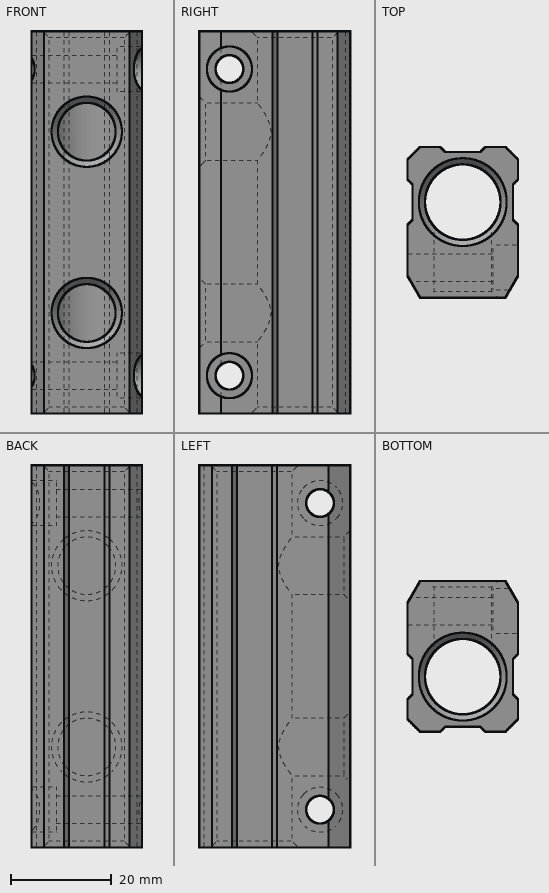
import cadquery as cq
import math

width = 22.0
depth = 30.0
height = 76.0
half_width = width / 2
back_y = half_width
front_y = back_y - depth

bevel = 2.5
front_bevel_length = bevel * math.tan(math.radians(60))

groove_depth = 1.0
groove_floor_half = 3.5
groove_mouth_half = groove_floor_half + groove_depth

bore_diameter = 15.0
bore_mouth_diameter = 17.5

port_diameter = 11.5
port_mouth_diameter = 14.0
port_end_distance = 20.0

screw_diameter = 5.5
screw_head_diameter = 9.0
screw_head_depth = 5.0
screw_end_distance = 7.5
screw_y = front_y + 6.0


def mirrored_heights(end_distance):
    """Heights of two features equally far from the bottom and top ends."""
    return (end_distance, height - end_distance)


def cylinder(diameter, length, start, direction):
    return cq.Workplane(cq.Solid.makeCylinder(diameter / 2, length, cq.Vector(*start), cq.Vector(*direction)))


def countersink(mouth_diameter, hole_diameter, start, direction):
    """Cone with 45 degree walls narrowing from the mouth to the hole."""
    cone_depth = (mouth_diameter - hole_diameter) / 2
    return cq.Workplane(
        cq.Solid.makeCone(
            mouth_diameter / 2, hole_diameter / 2, cone_depth, cq.Vector(*start), cq.Vector(*direction)
        )
    )


def make_block():
    groove_floor = half_width - groove_depth
    right_half = [
        (half_width - bevel, front_y),
        (half_width, front_y + front_bevel_length),
        (half_width, -groove_mouth_half),
        (groove_floor, -groove_floor_half),
        (groove_floor, groove_floor_half),
        (half_width, groove_mouth_half),
        (half_width, back_y - bevel),
        (half_width - bevel, back_y),
        (groove_mouth_half, back_y),
        (groove_floor_half, back_y - groove_depth),
    ]
    left_half = [(-x, y) for x, y in reversed(right_half)]
    return cq.Workplane("XY").polyline(right_half + left_half).close().extrude(height)


def cut_main_bore(body):
    body = body.cut(cylinder(bore_diameter, height, (0, 0, 0), (0, 0, 1)))
    body = body.cut(countersink(bore_mouth_diameter, bore_diameter, (0, 0, 0), (0, 0, 1)))
    return body.cut(countersink(bore_mouth_diameter, bore_diameter, (0, 0, height), (0, 0, -1)))


def cut_port(body, z):
    mouth = (0, front_y, z)
    body = body.cut(cylinder(port_diameter, -front_y, mouth, (0, 1, 0)))
    return body.cut(countersink(port_mouth_diameter, port_diameter, mouth, (0, 1, 0)))


def cut_screw_hole(body, z):
    head_side = (half_width, screw_y, z)
    body = body.cut(cylinder(screw_diameter, width, head_side, (-1, 0, 0)))
    return body.cut(cylinder(screw_head_diameter, screw_head_depth, head_side, (-1, 0, 0)))


result = cut_main_bore(make_block())
for port_z in mirrored_heights(port_end_distance):
    result = cut_port(result, port_z)
for screw_z in mirrored_heights(screw_end_distance):
    result = cut_screw_hole(result, screw_z)